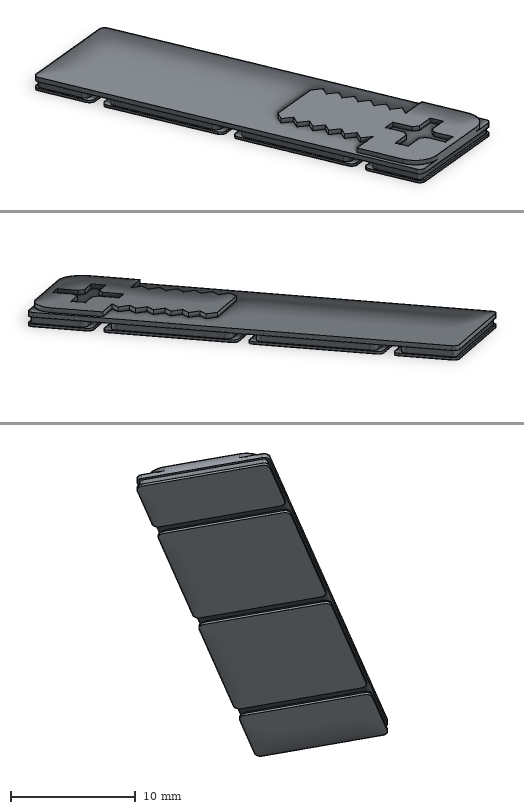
import cadquery as cq

length = 36.0
width = 11.0
corner_radius = 0.5

foot_thickness = 0.2
neck_thickness = 0.58
plate_thickness = 0.4
relief_height = 0.4

neck_bottom = foot_thickness
plate_bottom = neck_bottom + neck_thickness
plate_top = plate_bottom + plate_thickness

gap_count = 3
gap_pitch = 12.15
foot_gap = 0.9
neck_gap = 1.98
neck_inset = 0.2
neck_end_radius = corner_radius - neck_inset

thread_start = 20.95
head_start = 29.77
thread_root_half_width = 2.6
tooth_count = 6
tooth_pitch = (head_start - thread_start) / tooth_count
tooth_height = tooth_pitch / 2
head_width = 10.3
head_radius = 2.0

cross_span = 5.55
cross_arm_width = 1.2
cross_corner_chamfer = 0.45
cross_center = head_start + cross_span / 2


def slab(x_start, x_end, y_size, z_bottom, thickness):
    """Box between two X positions, centred on Y = 0."""
    return (
        cq.Workplane("XY", origin=((x_start + x_end) / 2, 0, z_bottom))
        .rect(x_end - x_start, y_size)
        .extrude(thickness)
    )


def block_ends(gap, end_inset):
    """Start and end X of every block left between the gaps and the inset plate ends."""
    first_gap = length / 2 - gap_pitch * (gap_count - 1) / 2
    gap_centers = [first_gap + i * gap_pitch for i in range(gap_count)]
    starts = [end_inset] + [center + gap / 2 for center in gap_centers]
    ends = [center - gap / 2 for center in gap_centers] + [length - end_inset]
    return list(zip(starts, ends))


def make_plate():
    return slab(0, length, width, plate_bottom, plate_thickness).edges("|Z").fillet(corner_radius)


def add_feet(body):
    for start, end in block_ends(foot_gap, 0):
        foot = slab(start, end, width, 0, foot_thickness)
        body = body.union(foot.edges("|Z").fillet(corner_radius))
    return body


def add_necks(body):
    neck_width = width - 2 * neck_inset
    last_block = gap_count
    for i, (start, end) in enumerate(block_ends(neck_gap, neck_inset)):
        left_radius = neck_end_radius if i == 0 else corner_radius
        right_radius = neck_end_radius if i == last_block else corner_radius
        neck = slab(start, end, neck_width, neck_bottom, neck_thickness)
        neck = neck.faces("<X").edges("|Z").fillet(left_radius)
        neck = neck.faces(">X").edges("|Z").fillet(right_radius)
        body = body.union(neck)
    return body


def make_thread():
    """Threaded shank: a row of triangular teeth along both long sides."""
    crest_half_width = thread_root_half_width + tooth_height
    upper_side = [(thread_start, thread_root_half_width)]
    for i in range(tooth_count):
        tooth_start = thread_start + i * tooth_pitch
        upper_side.append((tooth_start + tooth_pitch / 2, crest_half_width))
        upper_side.append((tooth_start + tooth_pitch, thread_root_half_width))
    lower_side = [(x, -y) for x, y in reversed(upper_side)]
    return (
        cq.Workplane("XY", origin=(0, 0, plate_top))
        .polyline(upper_side + lower_side)
        .close()
        .extrude(relief_height)
    )


def make_head():
    head = slab(head_start, length, head_width, plate_top, relief_height)
    return head.edges("|Z and >X").fillet(head_radius)


def make_cross():
    """Cross with chamfered inner corners."""
    half_span = cross_span / 2
    half_arm = cross_arm_width / 2
    chamfer_end = half_arm + cross_corner_chamfer
    quarter = [
        (half_span, half_arm),
        (chamfer_end, half_arm),
        (half_arm, chamfer_end),
        (half_arm, half_span),
    ]
    outline = []
    for _ in range(4):
        outline += quarter
        quarter = [(-y, x) for x, y in quarter]
    return (
        cq.Workplane("XY", origin=(cross_center, 0, plate_top))
        .polyline(outline)
        .close()
        .extrude(relief_height)
    )


body = add_feet(add_necks(make_plate()))
screw = make_thread().union(make_head()).cut(make_cross())
result = body.union(screw)